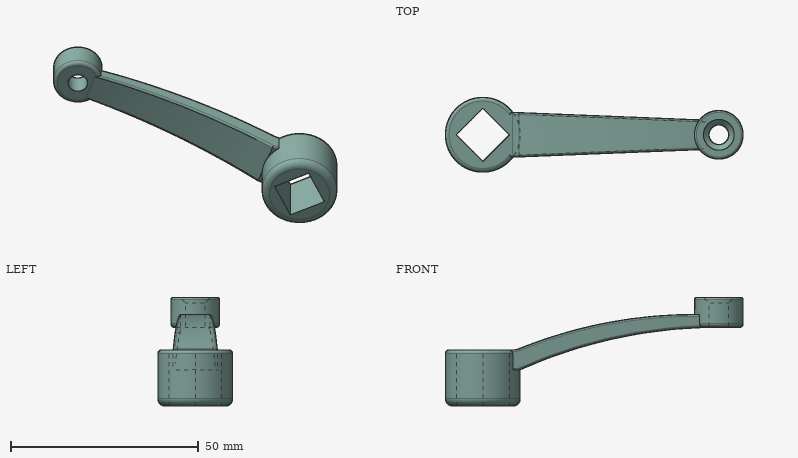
import cadquery as cq
import math

HUB_DIAMETER = 20.0
HUB_HEIGHT = 15.0
HUB_TOP_FILLET = 1.0
HUB_BOTTOM_FILLET = 2.0
SQUARE_SIDE = 10.0
SQUARE_TURN = 45.0

EYE_DIAMETER = 13.0
EYE_HEIGHT = 8.0
EYE_TOP = 29.0
EYE_TOP_FILLET = 0.5
EYE_BOTTOM_FILLET = 1.0
EYE_HOLE_DIAMETER = 5.2
COUNTERSINK_DEPTH = 1.5
TOTAL_LENGTH = 79.5

ARM_ROOT_HALF_WIDTH = 6.0
ARM_TIP_HALF_WIDTH = 4.0
ARM_ROOT_X = 7.2
ARM_TOP_BEND_X = 8.85
ARM_BOTTOM_BEND_X = 9.7
ARM_ROOT_BOTTOM = 9.6
ARM_TOP_RADIUS = 125.0
ARM_TIP_TOP = 24.45
ARM_BOTTOM_RADIUS = 129.0
ARM_TIP_BOTTOM = 21.0
ARM_BLEND_RADIUS = 4.5
ARM_EDGE_FILLET = 0.5
EYE_OVERLAP = 1.5

hub_radius = HUB_DIAMETER / 2
eye_radius = EYE_DIAMETER / 2
eye_x = TOTAL_LENGTH - hub_radius - eye_radius
eye_bottom = EYE_TOP - EYE_HEIGHT

arm_exit_x = math.sqrt(hub_radius**2 - ARM_ROOT_HALF_WIDTH**2)
arm_entry_x = eye_x - math.sqrt(eye_radius**2 - ARM_TIP_HALF_WIDTH**2)
arm_taper = (ARM_ROOT_HALF_WIDTH - ARM_TIP_HALF_WIDTH) / (arm_entry_x - arm_exit_x)
arm_end_x = arm_entry_x + EYE_OVERLAP


def arm_half_width(x):
    """Half width of the tapered arm at distance x from the hub axis."""
    return ARM_ROOT_HALF_WIDTH - arm_taper * (x - arm_exit_x)


def make_rounded_cylinder(diameter, height, top_fillet, bottom_fillet):
    """Upright cylinder standing on Z = 0 with rounded rims."""
    cylinder = cq.Workplane("XY").circle(diameter / 2).extrude(height)
    cylinder = cylinder.faces(">Z").edges().fillet(top_fillet)
    return cylinder.faces("<Z").edges().fillet(bottom_fillet)


def make_arm():
    """Curved side profile trimmed to the tapered plan outline."""
    profile = (
        cq.Workplane("XZ")
        .moveTo(ARM_ROOT_X, ARM_ROOT_BOTTOM)
        .lineTo(ARM_BOTTOM_BEND_X, ARM_ROOT_BOTTOM)
        .radiusArc((arm_end_x, ARM_TIP_BOTTOM), ARM_BOTTOM_RADIUS)
        .lineTo(arm_end_x, ARM_TIP_TOP)
        .radiusArc((ARM_TOP_BEND_X, HUB_HEIGHT), -ARM_TOP_RADIUS)
        .lineTo(ARM_ROOT_X, HUB_HEIGHT)
        .close()
        .extrude(hub_radius, both=True)
    )
    bend_point = (ARM_TOP_BEND_X, 0, HUB_HEIGHT)
    profile = profile.edges(cq.selectors.NearestToPointSelector(bend_point)).fillet(ARM_BLEND_RADIUS)

    root_half_width = arm_half_width(ARM_ROOT_X)
    end_half_width = arm_half_width(arm_end_x)
    plan = (
        cq.Workplane("XY")
        .moveTo(ARM_ROOT_X, -root_half_width)
        .lineTo(arm_end_x, -end_half_width)
        .lineTo(arm_end_x, end_half_width)
        .lineTo(ARM_ROOT_X, root_half_width)
        .close()
        .extrude(EYE_TOP)
    )
    arm = profile.intersect(plan)
    long_edges = arm.faces(">Y or <Y").edges("not |Z")
    return long_edges.fillet(ARM_EDGE_FILLET)


def make_hub():
    """Round hub with rounded top and bottom rims."""
    return make_rounded_cylinder(HUB_DIAMETER, HUB_HEIGHT, HUB_TOP_FILLET, HUB_BOTTOM_FILLET)


def make_eye():
    """Raised round eye at the end of the arm."""
    eye = make_rounded_cylinder(EYE_DIAMETER, EYE_HEIGHT, EYE_TOP_FILLET, EYE_BOTTOM_FILLET)
    return eye.translate((eye_x, 0, eye_bottom))


def make_square_hole():
    """Through hole with its corners on the X and Y axes."""
    square = cq.Workplane("XY").rect(SQUARE_SIDE, SQUARE_SIDE).extrude(HUB_HEIGHT)
    return square.rotate((0, 0, 0), (0, 0, 1), SQUARE_TURN)


def make_eye_hole():
    """Through hole with a countersink at the top of the eye."""
    hole_radius = EYE_HOLE_DIAMETER / 2
    profile = (
        cq.Workplane("XZ")
        .moveTo(0, eye_bottom)
        .lineTo(hole_radius, eye_bottom)
        .lineTo(hole_radius, EYE_TOP - COUNTERSINK_DEPTH)
        .lineTo(hole_radius + COUNTERSINK_DEPTH, EYE_TOP)
        .lineTo(0, EYE_TOP)
        .close()
    )
    hole = profile.revolve(360, (0, 0, 0), (0, 1, 0))
    return hole.translate((eye_x, 0, 0))


result = make_hub().union(make_arm()).union(make_eye())
result = result.cut(make_square_hole()).cut(make_eye_hole())